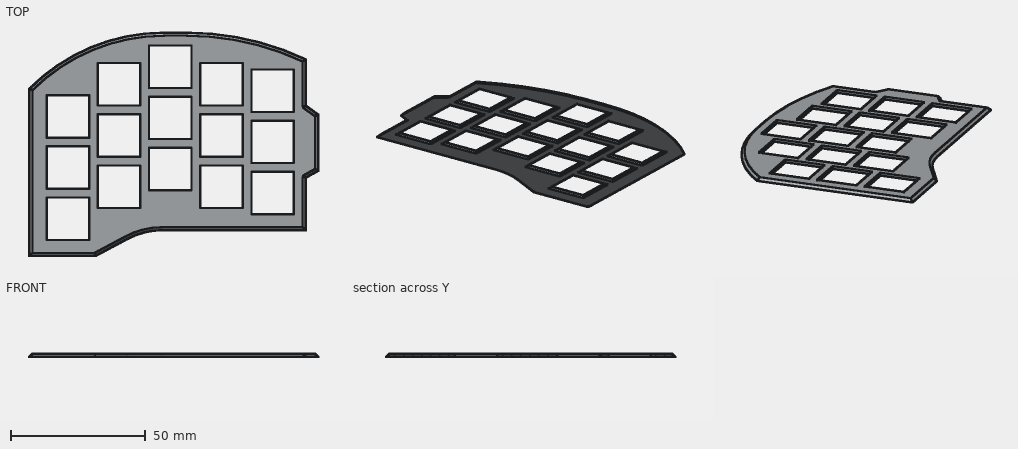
import cadquery as cq
import math

thickness = 1.2
edge_slope = 45
overall_length = 107.4
overall_width = 83.0
right_edge_x = 102.7
left_edge_height = 62.0
right_edge_top = 73.0

crest_left = 50.1
crest_right = 58.5

tab_top = 52.5
tab_bottom = 31.7
upper_shoulder_rise = 3.3
lower_shoulder_drop = 2.6

raised_edge_y = 9.6
ramp_angle = math.radians(28)
bend_start_x = 36.6
bend_end_x = 49.3

opening_size = 15.7
pitch = 19.0
rows = 3
first_column_left = 6.5
column_tops = [59.7, 71.6, 78.2, 71.6, 69.2]


def crest_arc_middle(crest_x, end_x, end_y):
    """Middle point of an arc that leaves the crest horizontally and ends at the given point."""
    run = end_x - crest_x
    drop = overall_width - end_y
    radius = (run**2 + drop**2) / (2 * drop)
    half_sweep = math.asin(run / radius) / 2
    middle_x = crest_x + radius * math.sin(half_sweep)
    middle_y = overall_width - radius * (1 - math.cos(half_sweep))
    return middle_x, middle_y


def make_plate():
    bend_start_y = raised_edge_y - (bend_end_x - bend_start_x) * math.tan(ramp_angle / 2)
    ramp_foot_x = bend_start_x - bend_start_y / math.tan(ramp_angle)
    outline = (
        cq.Workplane("XY")
        .lineTo(ramp_foot_x, 0)
        .lineTo(bend_start_x, bend_start_y)
        .tangentArcPoint((bend_end_x, raised_edge_y), relative=False)
        .lineTo(right_edge_x, raised_edge_y)
        .lineTo(right_edge_x, tab_bottom - lower_shoulder_drop)
        .lineTo(overall_length, tab_bottom)
        .lineTo(overall_length, tab_top)
        .lineTo(right_edge_x, tab_top + upper_shoulder_rise)
        .lineTo(right_edge_x, right_edge_top)
        .threePointArc(
            crest_arc_middle(crest_right, right_edge_x, right_edge_top),
            (crest_right, overall_width),
        )
        .lineTo(crest_left, overall_width)
        .threePointArc(
            crest_arc_middle(crest_left, 0, left_edge_height),
            (0, left_edge_height),
        )
        .close()
    )
    return outline.extrude(thickness, taper=edge_slope)


def make_openings():
    centers = []
    for column, top in enumerate(column_tops):
        center_x = first_column_left + opening_size / 2 + column * pitch
        for row in range(rows):
            center_y = top - opening_size / 2 - row * pitch
            centers.append((center_x, center_y))
    return cq.Workplane("XY").pushPoints(centers).rect(opening_size, opening_size).extrude(thickness)


result = make_plate().cut(make_openings())